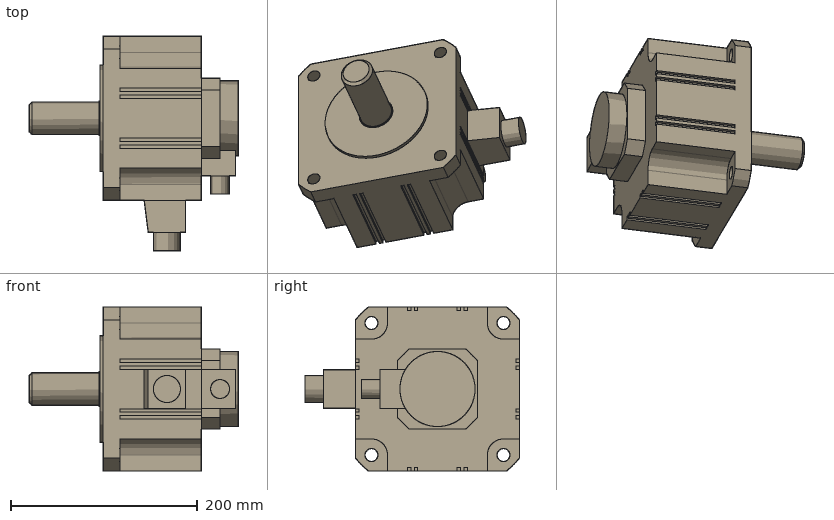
import cadquery as cq
import math


overall_width = 230.0

flange_side = 176.0
flange_thickness = 18.0
flange_corner_radius = 115.0
bolt_spacing = 141.5
bolt_hole_diameter = 13.5

pilot_diameter = 114.3
pilot_height = 3.5

body_end = 105.3
corner_relief_radius = 17.2
groove_width = 3.7
groove_depth = 3.7
groove_offsets = (23.0, 30.4)

cover_side = 86.0
cover_chamfer = 12.6
cover_end = 125.4
cap_diameter = 80.5
cap_end = 145.0

connector_height = 41.5
power_front_at_body = 44.0
power_front_at_face = 48.3
power_rear = 88.5
power_face = 122.4
power_plug_diameter = 29.0
encoder_rear = 142.1
encoder_face = 61.6
encoder_plug_diameter = 20.2
encoder_plug_x = 125.4
encoder_plug_end = 81.2

shaft_diameter = 35.0
shaft_tip = 79.1
shaft_chamfer = 3.0
collar_diameter = 37.3
collar_height = 0.7

half_side = flange_side / 2
half_spacing = bolt_spacing / 2
body_length = body_end - flange_thickness
power_plug_end = overall_width - half_side


def plane_at(x):
    """Workplane across the shaft axis, facing +X."""
    return cq.Workplane("YZ", origin=(x, 0, 0))


def cylinder_x(start, end, diameter):
    return plane_at(start).circle(diameter / 2).extrude(end - start)


def make_flange():
    flange = plane_at(0).rect(flange_side, flange_side).extrude(flange_thickness)
    flange = flange.intersect(cylinder_x(0, flange_thickness, 2 * flange_corner_radius))
    holes = (
        plane_at(0)
        .rect(bolt_spacing, bolt_spacing, forConstruction=True)
        .vertices()
        .circle(bolt_hole_diameter / 2)
        .extrude(flange_thickness)
    )
    return flange.cut(holes)


def make_corner_relief():
    """Square notch at the +Y +Z corner with a round inner corner around the bolt."""
    inner = half_spacing - corner_relief_radius
    arc_middle = half_spacing - corner_relief_radius * math.sqrt(0.5)
    return (
        plane_at(flange_thickness)
        .moveTo(half_side, half_side)
        .lineTo(inner, half_side)
        .lineTo(inner, half_spacing)
        .threePointArc((arc_middle, arc_middle), (half_spacing, inner))
        .lineTo(half_side, inner)
        .close()
        .extrude(body_length)
    )


def make_side_grooves():
    """Two pairs of lengthwise grooves in the +Z side."""
    centers = [
        (side * offset, half_side - groove_depth / 2)
        for side in (-1, 1)
        for offset in groove_offsets
    ]
    return (
        plane_at(flange_thickness)
        .pushPoints(centers)
        .rect(groove_width, groove_depth)
        .extrude(body_length)
    )


def make_body():
    body = plane_at(flange_thickness).rect(flange_side, flange_side).extrude(body_length)
    relief = make_corner_relief()
    grooves = make_side_grooves()
    for angle in (0, 90, 180, 270):
        for cutter in (relief, grooves):
            body = body.cut(cutter.rotate((0, 0, 0), (1, 0, 0), angle))
    return body


def make_encoder_cover():
    cover = (
        plane_at(body_end)
        .rect(cover_side, cover_side)
        .extrude(cover_end - body_end)
        .edges("|X")
        .chamfer(cover_chamfer)
    )
    return cover.union(cylinder_x(cover_end, cap_end, cap_diameter))


def make_plug(x, start, end, diameter):
    """Round cable outlet pointing to -Y between two distances from the shaft axis."""
    return cq.Workplane("XZ", origin=(x, -start, 0)).circle(diameter / 2).extrude(end - start)


def make_encoder_connector():
    block = (
        plane_at(body_end)
        .center(-encoder_face / 2, 0)
        .rect(encoder_face, connector_height)
        .extrude(encoder_rear - body_end)
    )
    plug = make_plug(encoder_plug_x, encoder_face, encoder_plug_end, encoder_plug_diameter)
    return block.union(plug)


def make_shaft():
    """Shaft with a thin collar at its foot on the pilot boss."""
    shaft = cylinder_x(-shaft_tip, -pilot_height, shaft_diameter)
    shaft = shaft.faces("<X").chamfer(shaft_chamfer)
    collar = cylinder_x(-pilot_height - collar_height, -pilot_height, collar_diameter)
    return shaft.union(collar)


def make_motor():
    return (
        make_flange()
        .union(cylinder_x(-pilot_height, 0, pilot_diameter))
        .union(make_shaft())
        .union(make_body())
        .union(make_encoder_cover())
        .union(make_encoder_connector())
    )


def make_power_connector():
    """Block with a sloped front, seated flat on the -Y side of the motor body."""
    block = (
        cq.Workplane("XY")
        .polyline([
            (power_front_at_body, -half_side),
            (power_front_at_face, -power_face),
            (power_rear, -power_face),
            (power_rear, -half_side),
        ])
        .close()
        .extrude(connector_height / 2, both=True)
    )
    plug_x = (power_front_at_face + power_rear) / 2
    return block.union(make_plug(plug_x, power_face, power_plug_end, power_plug_diameter))


motor = make_motor()
power_connector = make_power_connector()

result = cq.Compound.makeCompound([motor.val(), power_connector.val()])